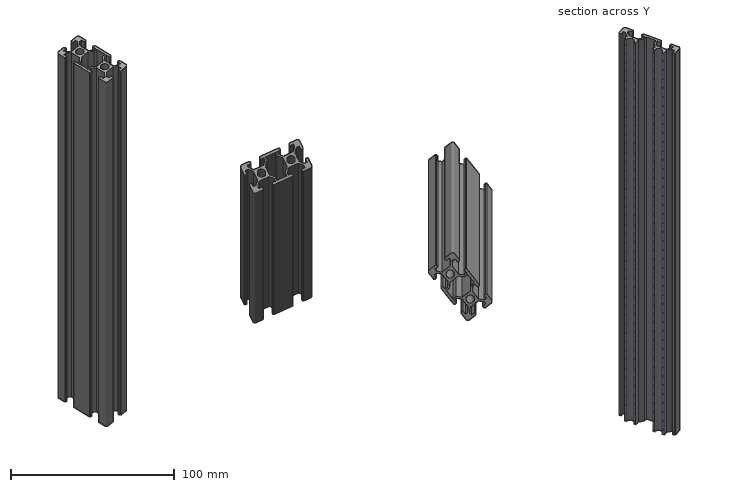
import cadquery as cq
import math

length = 300.0
width = 40.0
cell = width / 2
corner_radius = 1.5

core_size = 8.0
bore_diameter = 5.0
web_thickness = 1.25

slot_opening = 6.3
slot_inner_width = 11.0
mouth_chamfer = 0.45
lip_thickness = 1.8

chamber_wall = 1.8
chamber_end_width = 6.5

half_cell = cell / 2
half_core = core_size / 2
web_offset = web_thickness / math.sqrt(2)


def make_slot():
    """Slot cutter opening towards +Y, for a cell centred on the origin."""
    half_opening = slot_opening / 2
    half_inner = slot_inner_width / 2
    lip_bottom = half_cell - lip_thickness
    right_half = (
        cq.Workplane("XY")
        .moveTo(0, half_core)
        .lineTo(half_core - web_offset, half_core)
        .lineTo(half_inner, half_inner + web_offset)
        .lineTo(half_inner, lip_bottom)
        .lineTo(half_opening, lip_bottom)
        .lineTo(half_opening, half_cell - mouth_chamfer)
        .lineTo(half_opening + mouth_chamfer, half_cell)
        .lineTo(0, half_cell)
        .close()
        .extrude(length)
    )
    return right_half.union(right_half.mirror("YZ"))


def make_chamber():
    """Central chamber cutter between the two cores, bounded by the webs."""
    side_x = half_cell - half_core
    end_x = chamber_end_width / 2
    top_y = half_cell - chamber_wall
    web_y_at_core = half_core - web_offset
    web_y_at_end = web_y_at_core + side_x - end_x
    upper_right = [(side_x, web_y_at_core), (end_x, web_y_at_end), (end_x, top_y)]
    upper_left = [(-x, y) for x, y in reversed(upper_right)]
    upper_half = upper_right + upper_left
    lower_half = [(-x, -y) for x, y in upper_half]
    return cq.Workplane("XY").polyline(upper_half + lower_half).close().extrude(length)


result = (
    cq.Workplane("XY")
    .rect(width, cell)
    .extrude(length)
    .edges("|Z")
    .fillet(corner_radius)
)

slot = make_slot()
for side in (-1, 1):
    cell_x = side * half_cell
    outward_turn = -90 * side
    for turn in (0, 180, outward_turn):
        placed_slot = slot.rotate((0, 0, 0), (0, 0, 1), turn).translate((cell_x, 0, 0))
        result = result.cut(placed_slot)
    bore = cq.Workplane("XY").center(cell_x, 0).circle(bore_diameter / 2).extrude(length)
    result = result.cut(bore)

result = result.cut(make_chamber())